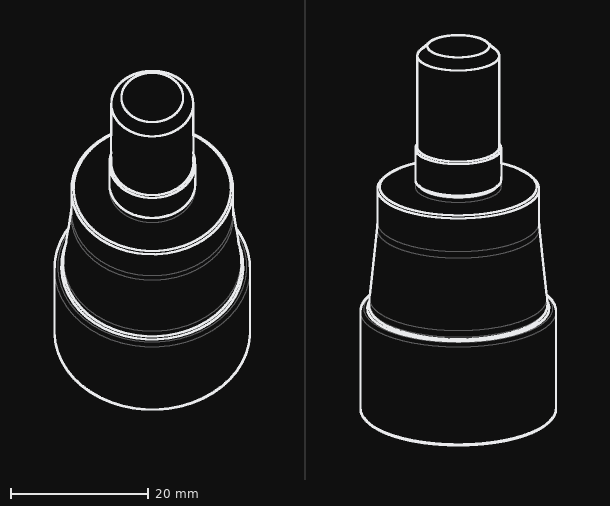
import cadquery as cq
import math

total_height = 57.0
base_diameter = 28.55
base_height = 16.0
base_top_fillet = 0.5
base_bottom_chamfer = 0.3

plug_radius = 13.3
cup_wall = base_diameter / 2 - plug_radius
plug_height = base_height - cup_wall

foot_radius = 13.0
skirt_bottom = 17.05
head_radius = 11.8
head_top = 35.0
head_bottom = 28.95
skirt_blend_radius = 10.0
head_chamfer = 0.35

stud_radius = 6.0
stud_tip_chamfer = 1.5
collar_radius = 6.25
collar_top = 41.25
collar_bottom = 36.1
collar_top_chamfer = collar_radius - stud_radius
neck_radius = 5.8
neck_fillet = 0.45
collar_bottom_chamfer = collar_radius - neck_radius


def make_base():
    """Round cup with a filleted top rim and a chamfered bottom rim, standing on Z = 0."""
    base = cq.Workplane("XY").circle(base_diameter / 2).extrude(base_height)
    base = base.faces(">Z").edges().fillet(base_top_fillet)
    base = base.faces("<Z").chamfer(base_bottom_chamfer)
    return base.cut(make_plug())


def make_plug():
    """Disc that fills the cup; it also shapes the cup's recess."""
    return cq.Workplane("XY").workplane(offset=cup_wall).circle(plug_radius).extrude(plug_height)


def make_shank():
    """Shank and stud revolved as one solid, joined to the plug in the base."""
    skirt_angle = math.atan2(foot_radius - head_radius, head_bottom - skirt_bottom)
    blend_length = skirt_blend_radius * math.tan(skirt_angle / 2)
    blend_inset = blend_length * math.sin(skirt_angle)
    blend_rise = blend_length * math.cos(skirt_angle)

    foot_top = skirt_bottom - blend_length
    foot_round = foot_top - base_height

    profile = (
        cq.Workplane("XZ")
        .moveTo(0, base_height)
        .lineTo(foot_radius - foot_round, base_height)
        .radiusArc((foot_radius, foot_top), -foot_round)
        .radiusArc(
            (foot_radius - blend_inset, skirt_bottom + blend_rise), -skirt_blend_radius
        )
        .lineTo(head_radius + blend_inset, head_bottom - blend_rise)
        .radiusArc((head_radius, head_bottom + blend_length), skirt_blend_radius)
        .lineTo(head_radius, head_top - head_chamfer)
        .lineTo(head_radius - head_chamfer, head_top)
        .lineTo(neck_radius + neck_fillet, head_top)
        .radiusArc((neck_radius, head_top + neck_fillet), neck_fillet)
        .lineTo(neck_radius, collar_bottom - collar_bottom_chamfer)
        .lineTo(collar_radius, collar_bottom)
        .lineTo(collar_radius, collar_top - collar_top_chamfer)
        .lineTo(stud_radius, collar_top)
        .lineTo(stud_radius, total_height - stud_tip_chamfer)
        .lineTo(stud_radius - stud_tip_chamfer, total_height)
        .lineTo(0, total_height)
        .close()
    )
    return profile.revolve(360, (0, 0), (0, 1)).union(make_plug())


base = make_base()
shank = make_shank()
result = cq.Compound.makeCompound([base.val(), shank.val()])